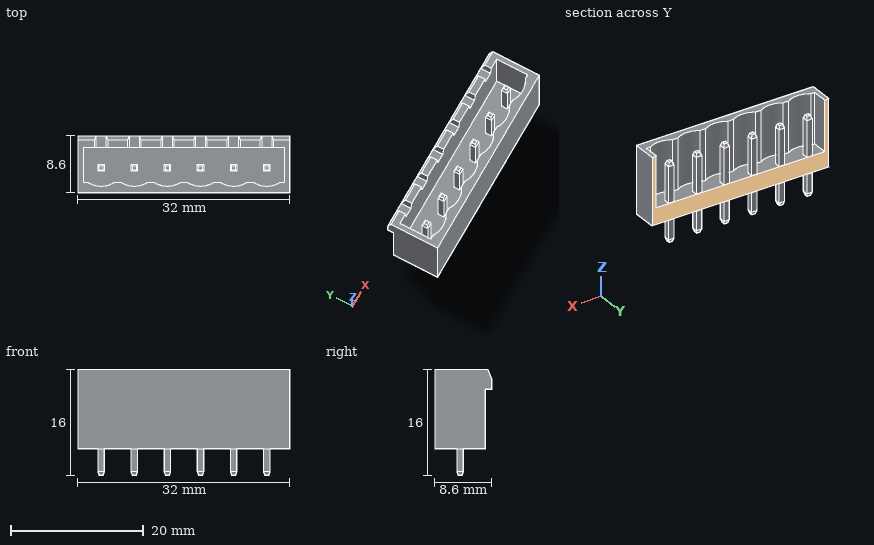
import cadquery as cq

pin_count = 6
pitch = 5.0
end_margin = 3.5
length = (pin_count - 1) * pitch + 2 * end_margin
depth = 7.6
height = 12.0

ledge_overhang = 1.0
ledge_back = depth + ledge_overhang
ledge_height = 3.0
ledge_slope_depth = 0.6
ledge_slope_height = 1.5

end_wall = 0.8
cavity_front = 1.6
cavity_back = 6.9
cavity_floor = 3.0
scallop_width = 4.0
scallop_depth = 0.6

notch_top_width = 2.0
notch_floor_width = 1.5
notch_depth = 1.5

pin_y = 3.8
pin_width = 1.0
pin_end_width = 0.6
pin_taper = 0.6
pin_tail = 4.0
pin_top = 10.0

pin_xs = [(i - (pin_count - 1) / 2) * pitch for i in range(pin_count)]


def make_housing():
    """Block with the sloped latch ledge, extruded from its end profile."""
    profile = [
        (0, 0),
        (depth, 0),
        (depth, height - ledge_height),
        (ledge_back, height - ledge_height),
        (ledge_back, height - ledge_slope_height),
        (ledge_back - ledge_slope_depth, height),
        (0, height),
    ]
    return cq.Workplane("YZ").polyline(profile).close().extrude(length / 2, both=True)


def make_cavity():
    """Rectangular pocket whose front wall is hollowed by an arc at each pin."""
    half_length = length / 2 - end_wall
    outline = cq.Workplane("XY", origin=(0, 0, cavity_floor))
    outline = outline.moveTo(-half_length, cavity_back).lineTo(-half_length, cavity_front)
    for x in pin_xs:
        outline = outline.lineTo(x - scallop_width / 2, cavity_front)
        outline = outline.threePointArc(
            (x, cavity_front - scallop_depth),
            (x + scallop_width / 2, cavity_front),
        )
    outline = outline.lineTo(half_length, cavity_front).lineTo(half_length, cavity_back)
    return outline.close().extrude(height - cavity_floor)


def make_notch(x):
    """Trapezoidal cutter running from inside the cavity out through the ledge."""
    notch_floor = height - notch_depth
    profile = [
        (x - notch_floor_width / 2, notch_floor),
        (x + notch_floor_width / 2, notch_floor),
        (x + notch_top_width / 2, height),
        (x - notch_top_width / 2, height),
    ]
    back_plane = cq.Workplane("XZ", origin=(0, ledge_back, 0))
    return back_plane.polyline(profile).close().extrude(ledge_back - pin_y)


def make_pin_end(x, z, direction):
    """Square frustum narrowing from z along +Z (direction 1) or -Z (direction -1)."""
    return (
        cq.Workplane("XY", origin=(x, pin_y, z))
        .rect(pin_width, pin_width)
        .workplane(offset=direction * pin_taper)
        .rect(pin_end_width, pin_end_width)
        .loft()
    )


def make_pin(x):
    """Straight square pin with a tapered end at the top and at the bottom."""
    shank_bottom = pin_taper - pin_tail
    shank_top = pin_top - pin_taper
    shank = (
        cq.Workplane("XY", origin=(x, pin_y, shank_bottom))
        .rect(pin_width, pin_width)
        .extrude(shank_top - shank_bottom)
    )
    return shank.union(make_pin_end(x, shank_bottom, -1)).union(make_pin_end(x, shank_top, 1))


result = make_housing().cut(make_cavity())
for pin_x in pin_xs:
    result = result.cut(make_notch(pin_x))
for pin_x in pin_xs:
    result = result.union(make_pin(pin_x))